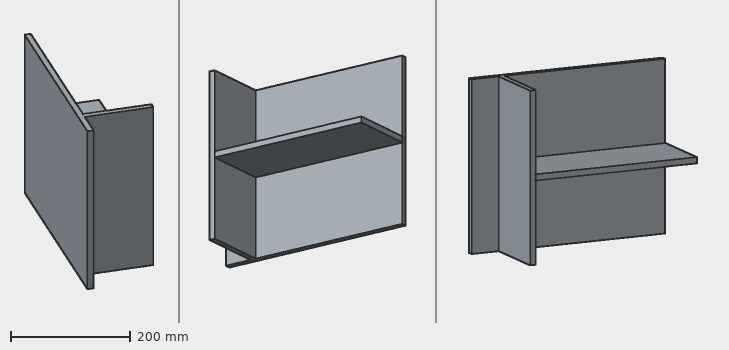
import cadquery as cq

total_width = 361.0
total_depth = 131.0
height = 300.0
thickness = 11.0

shelf_overhang = 1.0
shelf_length = 300.0

panel_width = total_width - shelf_overhang
inner_depth = total_depth - thickness
rib_left = shelf_length


def box_at(x, y, z, size_x, size_y, size_z):
    """Box whose lowest corner lies at (x, y, z)."""
    return cq.Workplane("XY").box(size_x, size_y, size_z, centered=False).translate((x, y, z))


def make_bracket():
    """Upright T section: a front panel with a full-height rib on its back."""
    panel = box_at(shelf_overhang, 0, 0, panel_width, thickness, height)
    rib = box_at(rib_left, thickness, 0, thickness, inner_depth, height)
    return panel.union(rib)


def make_shelf():
    """Flat shelf at mid height, touching the panel's back and the rib's side."""
    shelf_bottom = (height - thickness) / 2
    return box_at(0, thickness, shelf_bottom, shelf_length, inner_depth, thickness)


bracket = make_bracket()
shelf = make_shelf()
result = cq.Compound.makeCompound([bracket.val(), shelf.val()])